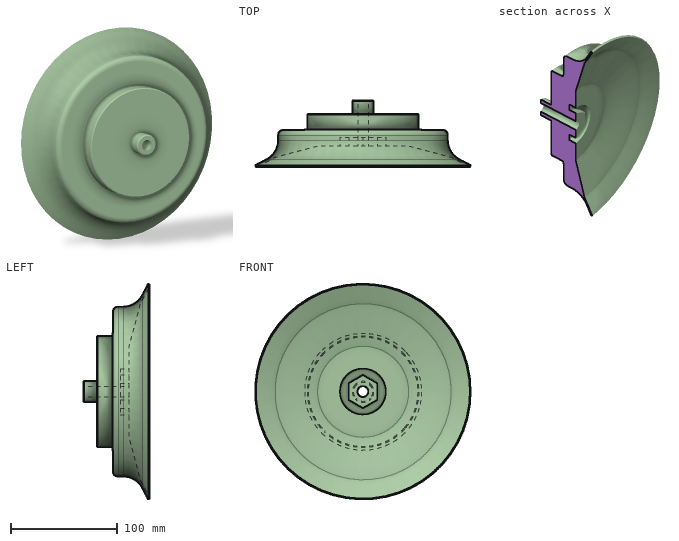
import cadquery as cq
import math


rim_thickness = 2.0
flare_angle = math.radians(28.0)
rim_radius = 202.95 / 2
body_radius = 80.0
body_start = 25.0
body_back = 35.0
body_edge_radius = 5.0
flare_radius = 20.0

inner_cone_radius = 82.8
floor_radius = 42.8
floor_depth = 20.0

flange_radius = 55.0
flange_back = 35.5
plate_radius = 105.0 / 2
plate_back = 50.0

stem_radius = 20.0 / 2
stem_back = 63.0
edge_chamfer = 1.0
bore_diameter = 10.0
recess_diameter = 43.2
recess_depth = 8.0
hexagon_flats = 27.0


def flare_point(sweep):
    """Point on the concave outer flare, sweep measured from the cylindrical body."""
    radius = body_radius + flare_radius * (1 - math.cos(sweep))
    return radius, body_start - flare_radius * math.sin(sweep)


def make_revolved_body():
    """Revolve the half section (radius, axial position) of cup, plate and stem."""
    flare_sweep = math.pi / 2 - flare_angle
    flare_end = flare_point(flare_sweep)
    rim_outer_depth = rim_thickness * math.cos(flare_angle)
    rim_inner_radius = rim_radius - rim_thickness * math.sin(flare_angle)
    inner_cone_depth = (rim_inner_radius - inner_cone_radius) * math.tan(flare_angle)
    edge_middle_offset = body_edge_radius * (1 - math.sqrt(0.5))

    profile = (
        cq.Workplane("XY")
        .moveTo(0, floor_depth)
        .lineTo(0, stem_back)
        .lineTo(stem_radius - edge_chamfer, stem_back)
        .lineTo(stem_radius, stem_back - edge_chamfer)
        .lineTo(stem_radius, plate_back)
        .lineTo(plate_radius - edge_chamfer, plate_back)
        .lineTo(plate_radius, plate_back - edge_chamfer)
        .lineTo(plate_radius, flange_back)
        .lineTo(flange_radius, flange_back)
        .lineTo(flange_radius, body_back)
        .lineTo(body_radius - body_edge_radius, body_back)
        .threePointArc(
            (body_radius - edge_middle_offset, body_back - edge_middle_offset),
            (body_radius, body_back - body_edge_radius),
        )
        .lineTo(body_radius, body_start)
        .threePointArc(flare_point(flare_sweep / 2), flare_end)
        .lineTo(rim_radius, rim_outer_depth)
        .lineTo(rim_inner_radius, 0)
        .lineTo(inner_cone_radius, inner_cone_depth)
        .lineTo(floor_radius, floor_depth)
        .close()
    )
    return profile.revolve(360, (0, 0), (0, 1))


def along_axis(start):
    """Sketch plane at an axial position; extrusions from it run toward +Y."""
    return cq.Workplane("XZ", origin=(0, start, 0)).transformed(rotate=(180, 0, 0))


def make_recess():
    """Round recess in the cup floor, leaving a hexagon head flush with the floor."""
    corner_diameter = hexagon_flats / math.cos(math.pi / 6)
    recess = along_axis(floor_depth).circle(recess_diameter / 2).extrude(recess_depth)
    head = (
        along_axis(floor_depth)
        .transformed(rotate=(0, 0, 90))
        .polygon(6, corner_diameter)
        .extrude(recess_depth)
    )
    return recess.cut(head)


def make_bore():
    """Bore through the head, plate and stem."""
    return along_axis(0).circle(bore_diameter / 2).extrude(stem_back)


result = make_revolved_body().cut(make_recess()).cut(make_bore())